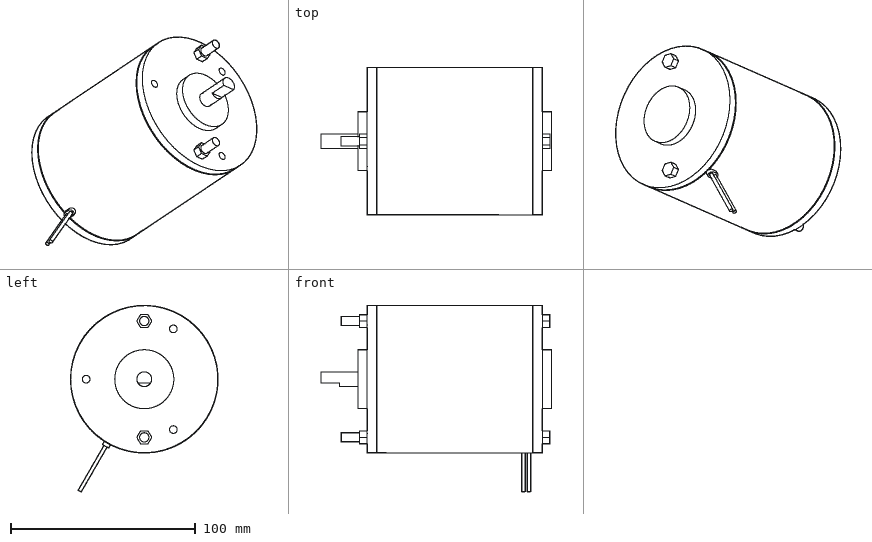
import cadquery as cq
import math


body_diameter = 80.0
body_length = 95.0
cap_thickness = 5.0
seam_width = 0.4
seam_depth = 0.25

boss_diameter = 32.0
boss_length = 5.0

shaft_diameter = 8.0
shaft_reach = 25.0
flat_length = 10.0
flat_offset = 2.1

pattern_radius = 31.5
hole_diameter = 4.13
hole_depth = cap_thickness
hole_angles = (0.0, 120.0, 240.0)
tie_rod_angles = (90.0, 270.0)

rod_diameter = 5.0
rod_reach = 14.0
nut_across_flats = 7.0
nut_thickness = 4.1

wire_diameter = 2.0
wire_spacing = 3.0
wire_tip_radius = 70.0
wire_pair_x = 86.25
wire_angle_from_down = 30.0
grommet_width = 4.0
grommet_tip_radius = 42.0
lead_embed_depth = 5.0
lead_root_radius = body_diameter / 2 - lead_embed_depth


def cylinder_x(diameter, x_start, x_end, y=0.0, z=0.0):
    """Cylinder parallel to X between two X positions."""
    plane = cq.Workplane("YZ", origin=(x_start, y, z))
    return plane.circle(diameter / 2).extrude(x_end - x_start)


def pattern_point(angle):
    """Y and Z of a point on the mounting circle, angle measured from +Y towards +Z."""
    radians = math.radians(angle)
    return pattern_radius * math.cos(radians), pattern_radius * math.sin(radians)


def make_housing():
    """Cylindrical housing with a shallow seam groove behind each end cap."""
    housing = cylinder_x(body_diameter, 0, body_length)
    seam_starts = (cap_thickness, body_length - cap_thickness - seam_width)
    for x_start in seam_starts:
        x_end = x_start + seam_width
        ring = cylinder_x(body_diameter, x_start, x_end)
        core = cylinder_x(body_diameter - 2 * seam_depth, x_start, x_end)
        housing = housing.cut(ring.cut(core))
    return housing


def make_bosses():
    """One bearing boss running through both end caps."""
    return cylinder_x(boss_diameter, -boss_length, body_length + boss_length)


def make_shaft():
    """Output shaft with a flat on its lower side at the tip."""
    shaft = cylinder_x(shaft_diameter, -shaft_reach, 0)
    flat_cutter = cq.Workplane("XY").box(
        flat_length, shaft_diameter, shaft_diameter, centered=(False, True, False)
    )
    return shaft.cut(flat_cutter.translate((-shaft_reach, 0, -flat_offset - shaft_diameter)))


def make_tie_rod(y, z):
    """Tie rod projecting at the front; one hexagonal bar through the housing forms both nuts."""
    corner_diameter = nut_across_flats / math.cos(math.pi / 6)
    start = cq.Workplane("YZ", origin=(-nut_thickness, y, z))
    nuts = start.polygon(6, corner_diameter).extrude(body_length + 2 * nut_thickness)
    return nuts.union(cylinder_x(rod_diameter, -rod_reach, 0, y, z))


def make_leads():
    """Lead wires and grommet, built pointing straight down and then swung towards +Y."""
    root = cq.Workplane("XY", origin=(wire_pair_x, 0, -lead_root_radius))
    grommet = root.slot2D(wire_spacing + grommet_width, grommet_width)
    grommet = grommet.extrude(lead_root_radius - grommet_tip_radius)
    wire_positions = [(-wire_spacing / 2, 0), (wire_spacing / 2, 0)]
    wires = root.pushPoints(wire_positions).circle(wire_diameter / 2)
    wires = wires.extrude(lead_root_radius - wire_tip_radius)
    return grommet.union(wires).rotate((0, 0, 0), (1, 0, 0), wire_angle_from_down)


result = make_housing().union(make_bosses()).union(make_shaft()).union(make_leads())

for angle in tie_rod_angles:
    result = result.union(make_tie_rod(*pattern_point(angle)))

for angle in hole_angles:
    result = result.cut(cylinder_x(hole_diameter, 0, hole_depth, *pattern_point(angle)))